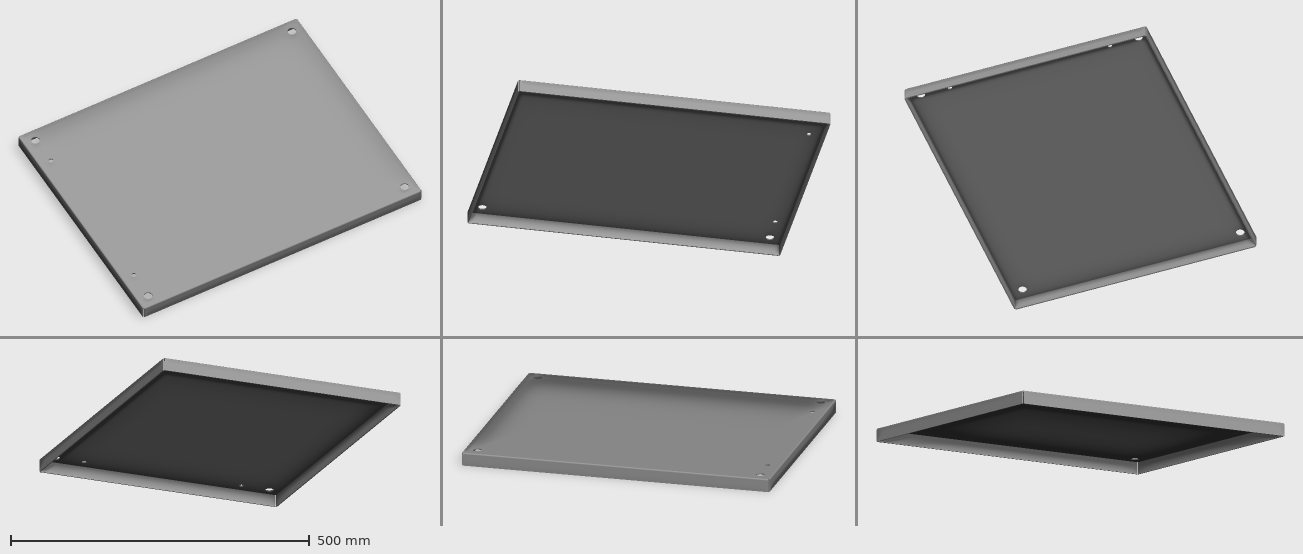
import cadquery as cq

width = 432.0
length = 533.5
height = 22.5

sheet = 2.05
inner_bend_radius = 0.2
outer_bend_radius = inner_bend_radius + sheet

corner_gap = 0.15
flange_setback = sheet + corner_gap
relief_setback = outer_bend_radius
relief_depth = 5.5

corner_hole_diameter = 14.5
corner_hole_x = 194.0
corner_hole_y = 245.5
small_hole_diameter = 8.0
small_hole_x = 143.0
small_hole_y = 244.5


def bent_block(span, run, edge_radius):
    """Block below Z = 0 with its two long top edges rounded."""
    return (
        cq.Workplane("XY")
        .rect(span, run)
        .extrude(-height)
        .edges("|Y and >Z")
        .fillet(edge_radius)
    )


def folded_channel(span, run):
    """Channel with two down-turned flanges: span across X, run along Y, top at Z = 0."""
    outer = bent_block(span, run, outer_bend_radius)
    inner = bent_block(span - 2 * sheet, run, inner_bend_radius)
    return outer.cut(inner.translate((0, 0, -sheet)))


def corner_reliefs():
    """Square notches cut at the four corners, through the plate and the upper part of the flanges."""
    return (
        cq.Workplane("XY")
        .rect(width, length, forConstruction=True)
        .vertices()
        .rect(2 * relief_setback, 2 * relief_setback)
        .extrude(-relief_depth)
    )


def folded_tray():
    """Plate with a flange on each side and open corners; made of two crossed channels."""
    flat_width = width - 2 * flange_setback
    flat_length = length - 2 * flange_setback
    side_flanges = folded_channel(width, flat_length)
    end_flanges = folded_channel(length, flat_width).rotate((0, 0, 0), (0, 0, 1), 90)
    return side_flanges.union(end_flanges).cut(corner_reliefs())


def through_holes(points, diameter):
    return cq.Workplane("XY").pushPoints(points).circle(diameter / 2).extrude(-height)


corner_points = [(x, y) for x in (-corner_hole_x, corner_hole_x) for y in (-corner_hole_y, corner_hole_y)]
small_points = [(x, -small_hole_y) for x in (-small_hole_x, small_hole_x)]

result = (
    folded_tray()
    .cut(through_holes(corner_points, corner_hole_diameter))
    .cut(through_holes(small_points, small_hole_diameter))
    .translate((0, 0, height / 2))
)